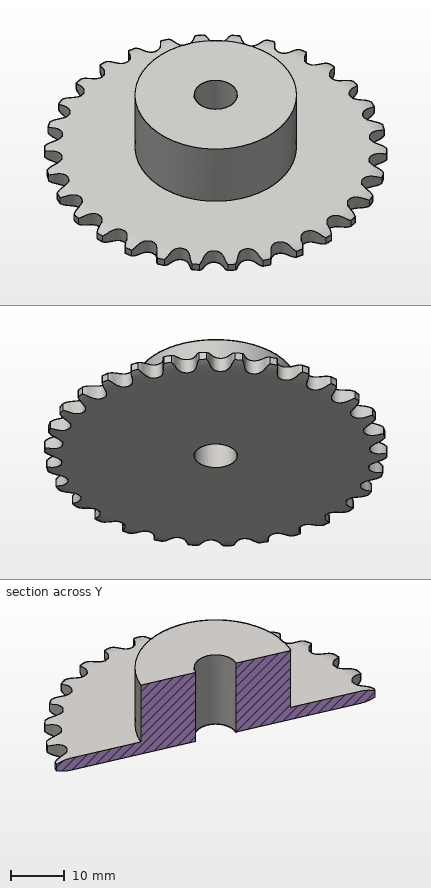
import cadquery as cq
import math

TOOTH_COUNT = 30
CHAIN_PITCH = 6.35
ROLLER_DIAMETER = 3.3
OUTER_DIAMETER = 63.6
PLATE_THICKNESS = 2.9

HUB_DIAMETER = 30.0
BORE_DIAMETER = 8.0
TOTAL_HEIGHT = 16.0

RELIEF_DIAMETER = 57.8
RELIEF_ARC_RADIUS = CHAIN_PITCH

BLANK_ALLOWANCE = 1.0

TOOTH_ANGLE = 2 * math.pi / TOOTH_COUNT
PITCH_RADIUS = CHAIN_PITCH / (2 * math.sin(TOOTH_ANGLE / 2))
OUTER_RADIUS = OUTER_DIAMETER / 2

CLEARANCE = 0.0381
SEAT_RADIUS = 0.5025 * ROLLER_DIAMETER + CLEARANCE
WORKING_RADIUS = 1.3025 * ROLLER_DIAMETER + CLEARANCE
SEAT_END_ANGLE = math.radians(35 + 60 / TOOTH_COUNT)
WORKING_SWEEP = math.radians(18 - 56 / TOOTH_COUNT)
FLANK_ANGLE = math.radians(17 - 64 / TOOTH_COUNT)
WORKING_CENTER_OFFSET = 0.8 * ROLLER_DIAMETER
TOPPING_CENTER_OFFSET = 1.4 * ROLLER_DIAMETER
FLANK_LENGTH = (
    TOPPING_CENTER_OFFSET * math.sin(FLANK_ANGLE)
    - WORKING_CENTER_OFFSET * math.sin(WORKING_SWEEP)
)
TOPPING_RADIUS = (
    WORKING_CENTER_OFFSET * math.cos(WORKING_SWEEP)
    + TOPPING_CENTER_OFFSET * math.cos(FLANK_ANGLE)
    - WORKING_RADIUS
)


def polar(radius, angle, center=(0.0, 0.0)):
    """Point at the given radius and angle around a center."""
    return (center[0] + radius * math.cos(angle), center[1] + radius * math.sin(angle))


def gap_flank_points():
    """Points of one side of a tooth gap, root to tip, for a gap centered on the +X axis.

    In order: root, seat end, working arc middle and end, flank end, topping arc middle, tip.
    """
    roller = (PITCH_RADIUS, 0.0)

    root = polar(SEAT_RADIUS, math.pi, roller)
    seat_end_direction = math.pi / 2 + SEAT_END_ANGLE
    seat_end = polar(SEAT_RADIUS, seat_end_direction, roller)

    working_center = polar(WORKING_CENTER_OFFSET, seat_end_direction - math.pi, roller)
    working_end_direction = seat_end_direction - WORKING_SWEEP
    working_middle = polar(WORKING_RADIUS, seat_end_direction - WORKING_SWEEP / 2, working_center)
    working_end = polar(WORKING_RADIUS, working_end_direction, working_center)

    flank_end = polar(FLANK_LENGTH, working_end_direction - math.pi / 2, working_end)

    topping_center = polar(TOPPING_CENTER_OFFSET, math.pi / 2 + TOOTH_ANGLE / 2, roller)
    center_radius = math.hypot(*topping_center)
    center_direction = math.atan2(topping_center[1], topping_center[0])
    cosine = (center_radius**2 + OUTER_RADIUS**2 - TOPPING_RADIUS**2) / (2 * center_radius * OUTER_RADIUS)
    tip = polar(OUTER_RADIUS, center_direction - math.acos(cosine))
    topping_start = math.atan2(flank_end[1] - topping_center[1], flank_end[0] - topping_center[0])
    topping_stop = math.atan2(tip[1] - topping_center[1], tip[0] - topping_center[0])
    topping_middle = polar(TOPPING_RADIUS, (topping_start + topping_stop) / 2, topping_center)

    return [root, seat_end, working_middle, working_end, flank_end, topping_middle, tip]


def rotated(point, angle):
    """Point turned about the sprocket axis."""
    return polar(math.hypot(*point), math.atan2(point[1], point[0]) + angle)


def toothed_blank():
    """Overthick plate with the full tooth outline and square-edged teeth."""
    left = gap_flank_points()
    right = [(x, -y) for x, y in left]
    root, seat_end, working_middle, working_end, flank_end, topping_middle, tip = range(len(left))

    first_gap = TOOTH_ANGLE / 2
    outline = cq.Workplane("XY", origin=(0, 0, -BLANK_ALLOWANCE)).moveTo(*rotated(right[tip], first_gap))
    for index in range(TOOTH_COUNT):
        turn = first_gap + index * TOOTH_ANGLE
        near = [rotated(point, turn) for point in right]
        far = [rotated(point, turn) for point in left]
        tooth_crown = polar(OUTER_RADIUS, turn + TOOTH_ANGLE / 2)
        next_tip = rotated(right[tip], turn + TOOTH_ANGLE)
        outline = (
            outline.threePointArc(near[topping_middle], near[flank_end])
            .lineTo(*near[working_end])
            .threePointArc(near[working_middle], near[seat_end])
            .threePointArc(near[root], far[seat_end])
            .threePointArc(far[working_middle], far[working_end])
            .lineTo(*far[flank_end])
            .threePointArc(far[topping_middle], far[tip])
            .threePointArc(tooth_crown, next_tip)
        )
    return outline.close().extrude(PLATE_THICKNESS + 2 * BLANK_ALLOWANCE)


def relief_envelope():
    """Disc of plate thickness whose faces curve toward each other over the teeth."""
    relief_radius = RELIEF_DIAMETER / 2
    relief_sweep = math.asin((OUTER_RADIUS - relief_radius) / RELIEF_ARC_RADIUS)
    relief_depth = RELIEF_ARC_RADIUS * (1 - math.cos(relief_sweep))
    middle_radius = relief_radius + RELIEF_ARC_RADIUS * math.sin(relief_sweep / 2)
    middle_depth = RELIEF_ARC_RADIUS * (1 - math.cos(relief_sweep / 2))
    return (
        cq.Workplane("XZ")
        .lineTo(relief_radius, 0)
        .threePointArc((middle_radius, middle_depth), (OUTER_RADIUS, relief_depth))
        .lineTo(OUTER_RADIUS, PLATE_THICKNESS - relief_depth)
        .threePointArc((middle_radius, PLATE_THICKNESS - middle_depth), (relief_radius, PLATE_THICKNESS))
        .lineTo(0, PLATE_THICKNESS)
        .close()
        .revolve(360, (0, 0, 0), (0, 1, 0))
    )


def hub():
    """Cylindrical hub running from the lower plate face to the full height."""
    return cq.Workplane("XY").circle(HUB_DIAMETER / 2).extrude(TOTAL_HEIGHT)


def bore():
    """Shaft hole through plate and hub."""
    return cq.Workplane("XY").circle(BORE_DIAMETER / 2).extrude(TOTAL_HEIGHT)


result = toothed_blank().intersect(relief_envelope()).union(hub()).cut(bore())